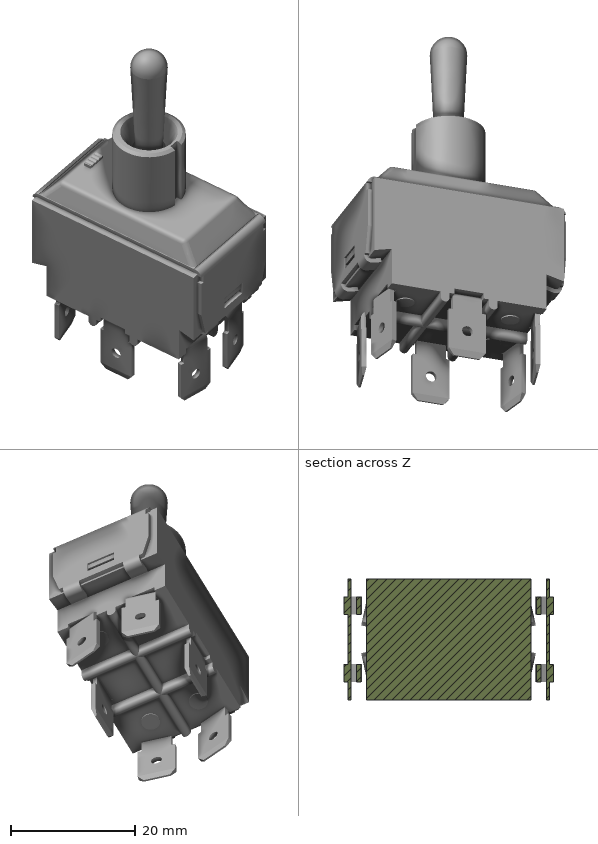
import cadquery as cq
import math


TOTAL_HEIGHT = 61.8
BODY_TOP = 29.2
BODY_BOTTOM = 10.5
STEP_Z = 16.75
COVER_TOP = 33.25
BUSHING_TOP = 45.2

BODY_LENGTH = 32.5
BODY_WIDTH = 19.5
FOOT_LENGTH = 26.6
STEP_DROP = 0.75
RIB_BOTTOM = 8.85
RIB_WIDTH = 1.5
RIB_X = 4.15

BUTTON_DIAMETER = 3.0
BUTTON_HEIGHT = 0.2
BUTTON_X = 9.0
BUTTON_Y = 4.3

STRAP_LENGTH = 34.0
STRAP_WIDTH = 17.3
STRAP_THICKNESS = (STRAP_LENGTH - BODY_LENGTH) / 2
STRAP_TOP = BODY_TOP + STRAP_THICKNESS
STRAP_END_Z = 16.45
STRAP_END_WIDTH = 15.15
STRAP_TAPER_Z = 20.9
BEND_RADIUS = 1.25
RELIEF_DEPTH = 0.55
RELIEF_BOTTOM = 27.5
RELIEF_TOP = 28.85
HOOK_ANGLE = 14.0
HOOK_ARM = 1.55
HOOK_WIDTH = 2.9
HOOK_Y = 5.45
WINDOW_WIDTH = 4.75
WINDOW_BOTTOM = 18.2
WINDOW_TOP = 20.35
TOOTH_BOTTOM = 19.1
TOOTH_TOP = 20.15
TOOTH_DEPTH = 0.55

COVER_BASE = (30.85, 17.05)
COVER_CREST = (24.95, 14.35)
COVER_FILLET = 1.0

GAP_WIDTH = 0.4
GAP_DEPTH = 0.2

MARK_X = -11.2
MARK_LENGTH = 1.35
MARK_WIDTH = 3.35
MARK_HEIGHT = 0.55
MARK_LOBES = 5
LOBE_PITCH = 0.8
LOBE_RISE = 0.2

BUSHING_RADIUS = 5.95
RIM_CHAMFER_HEIGHT = 0.4
RIM_CHAMFER_WIDTH = 0.55
FUNNEL_RADIUS = 4.65
FUNNEL_DEPTH = 3.2
BORE_RADIUS = 5.4 / 2
BORE_FLOOR = 37.1
KEYWAY_WIDTH = 1.7
KEYWAY_FLOOR_X = 4.95

TIP_RADIUS = 3.0
LEVER_ROOT_RADIUS = 4.0 / 2

BLADE_WIDTH = 6.3
BLADE_THICKNESS = 0.8
BLADE_SHOULDER = 8.15
NECK_WIDTH = 5.0
NECK_TOP = 11.45
NECK_BEND = 1.1
NECK_LEG = 2.5
TIP_HEIGHT = 1.1
TIP_INSET = 0.9
TIP_BEVEL = 0.25
HOLE_DIAMETER = 1.8
HOLE_Z = 4.6
NOTCH_LENGTH = 2.0
CENTRE_TERMINAL_Y = 8.9
CORNER_TERMINAL_X = 13.4
CORNER_TERMINAL_Y = 5.3
CORNER_TERMINAL_ANGLE = 12.2


def block(x_range, y_range, z_range):
    """Box between two limits on each axis."""
    sizes = [high - low for low, high in (x_range, y_range, z_range)]
    corner = cq.Vector(x_range[0], y_range[0], z_range[0])
    return cq.Workplane(cq.Solid.makeBox(*sizes, corner))


def both_ends(shape):
    """The shape and its mirror image across the YZ plane."""
    return shape.union(shape.mirror("YZ"))


def rib(width, length):
    """Round-bottomed rib along Y below the housing."""
    radius = width / 2
    return (
        cq.Workplane("XZ")
        .moveTo(-radius, BODY_BOTTOM)
        .lineTo(-radius, RIB_BOTTOM + radius)
        .threePointArc((0, RIB_BOTTOM), (radius, RIB_BOTTOM + radius))
        .lineTo(radius, BODY_BOTTOM)
        .close()
        .extrude(length / 2, both=True)
    )


def housing():
    half = BODY_LENGTH / 2
    foot = FOOT_LENGTH / 2
    right_side = [(half, BODY_TOP), (half, STEP_Z - STEP_DROP), (foot, STEP_Z), (foot, BODY_BOTTOM)]
    left_side = [(-x, z) for x, z in reversed(right_side)]
    body = (
        cq.Workplane("XZ")
        .polyline(right_side + left_side)
        .close()
        .extrude(BODY_WIDTH / 2, both=True)
    )
    cross_rib = rib(RIB_WIDTH, BODY_WIDTH)
    for x in (-RIB_X, RIB_X):
        body = body.union(cross_rib.translate((x, 0, 0)))
    long_rib = rib(RIB_WIDTH, FOOT_LENGTH).rotate((0, 0, 0), (0, 0, 1), 90)
    buttons = (
        cq.Workplane("XY", origin=(0, 0, BODY_BOTTOM))
        .rect(2 * BUTTON_X, 2 * BUTTON_Y, forConstruction=True)
        .vertices()
        .circle(BUTTON_DIAMETER / 2)
        .extrude(-BUTTON_HEIGHT)
    )
    return body.union(long_rib).union(buttons)


def hook():
    """Bent-in end of the strap at +X, centred on Y = 0."""
    inner_radius = BEND_RADIUS - STRAP_THICKNESS
    centre_x = STRAP_LENGTH / 2 - BEND_RADIUS
    end_angle = -90 - HOOK_ANGLE

    def on_bend(radius, degrees):
        angle = math.radians(degrees)
        return (centre_x + radius * math.cos(angle), STRAP_END_Z + radius * math.sin(angle))

    along = math.radians(180 - HOOK_ANGLE)
    arm = (HOOK_ARM * math.cos(along), HOOK_ARM * math.sin(along))
    inner_end = on_bend(inner_radius, end_angle)
    outer_end = on_bend(BEND_RADIUS, end_angle)
    return (
        cq.Workplane("XZ")
        .moveTo(*on_bend(BEND_RADIUS, 0))
        .threePointArc(on_bend(BEND_RADIUS, end_angle / 2), outer_end)
        .line(*arm)
        .lineTo(inner_end[0] + arm[0], inner_end[1] + arm[1])
        .lineTo(*inner_end)
        .threePointArc(on_bend(inner_radius, end_angle / 2), on_bend(inner_radius, 0))
        .close()
        .extrude(HOOK_WIDTH / 2, both=True)
    )


def strap_side():
    """Side leg of the strap at +X."""
    half = STRAP_WIDTH / 2
    end_half = STRAP_END_WIDTH / 2
    relief_half = half - RELIEF_DEPTH
    right_edge = [
        (half, STRAP_TOP),
        (half, RELIEF_TOP),
        (relief_half, RELIEF_TOP),
        (relief_half, RELIEF_BOTTOM),
        (half, RELIEF_BOTTOM),
        (half, STRAP_TAPER_Z),
        (end_half, STRAP_END_Z),
    ]
    left_edge = [(-y, z) for y, z in reversed(right_edge)]
    window_width = (-WINDOW_WIDTH / 2, WINDOW_WIDTH / 2)
    inside = BODY_LENGTH / 2
    outside = STRAP_LENGTH / 2
    leg = (
        cq.Workplane("YZ", origin=(inside, 0, 0))
        .polyline(right_edge + left_edge)
        .close()
        .extrude(STRAP_THICKNESS)
        .cut(block((inside, outside), window_width, (WINDOW_BOTTOM, WINDOW_TOP)))
        .union(block((inside, inside + TOOTH_DEPTH), window_width, (TOOTH_BOTTOM, TOOTH_TOP)))
    )
    for y in (-HOOK_Y, HOOK_Y):
        leg = leg.union(hook().translate((0, y, 0)))
    return leg


def strap():
    half_width = STRAP_WIDTH / 2
    outside = STRAP_LENGTH / 2
    plate = block((-outside, outside), (-half_width, half_width), (BODY_TOP, STRAP_TOP))
    cover_end = COVER_BASE[0] / 2
    cover_side = COVER_BASE[1] / 2
    gap_heights = (STRAP_TOP - GAP_DEPTH, STRAP_TOP)
    gap = block((cover_end, cover_end + GAP_WIDTH), (-cover_side, cover_side), gap_heights)
    return (
        plate.union(both_ends(strap_side()))
        .edges("(<X or >X) and >Z")
        .fillet(BEND_RADIUS)
        .cut(both_ends(gap))
    )


def cover():
    return (
        cq.Workplane("XY", origin=(0, 0, STRAP_TOP))
        .rect(*COVER_BASE)
        .workplane(offset=COVER_TOP - STRAP_TOP)
        .rect(*COVER_CREST)
        .loft(ruled=True)
        .edges("not <Z")
        .fillet(COVER_FILLET)
    )


def position_mark():
    """Short bar across the cover whose top is a row of convex ribs."""
    low = MARK_HEIGHT - LOBE_RISE
    start = -MARK_LOBES * LOBE_PITCH / 2
    profile = cq.Workplane("YZ").moveTo(start, 0).lineTo(start, low)
    for index in range(MARK_LOBES):
        left = start + index * LOBE_PITCH
        profile = profile.threePointArc((left + LOBE_PITCH / 2, MARK_HEIGHT), (left + LOBE_PITCH, low))
    ribbed = profile.lineTo(-start, 0).close().extrude(MARK_LENGTH / 2, both=True)
    trim = cq.Workplane("XY").box(MARK_LENGTH, MARK_WIDTH, 2 * MARK_HEIGHT)
    return ribbed.intersect(trim).translate((MARK_X, 0, COVER_TOP))


def bushing():
    """Collar around the lever, with a flared bore and a keyway along its +X side."""
    collar = (
        cq.Workplane("XZ")
        .moveTo(0, COVER_TOP - COVER_FILLET)
        .lineTo(BUSHING_RADIUS, COVER_TOP - COVER_FILLET)
        .lineTo(BUSHING_RADIUS, BUSHING_TOP - RIM_CHAMFER_HEIGHT)
        .lineTo(BUSHING_RADIUS - RIM_CHAMFER_WIDTH, BUSHING_TOP)
        .lineTo(FUNNEL_RADIUS, BUSHING_TOP)
        .lineTo(BORE_RADIUS, BUSHING_TOP - FUNNEL_DEPTH)
        .lineTo(BORE_RADIUS, BORE_FLOOR)
        .lineTo(0, BORE_FLOOR)
        .close()
        .revolve(360, (0, 0), (0, 1))
    )
    half_key = KEYWAY_WIDTH / 2
    keyway = block((KEYWAY_FLOOR_X, BUSHING_RADIUS), (-half_key, half_key), (COVER_TOP, BUSHING_TOP))
    return collar.cut(keyway)


def lever():
    """Tapered stick with a hemispherical tip."""
    tip_centre = TOTAL_HEIGHT - TIP_RADIUS
    tip_diagonal = TIP_RADIUS * math.sqrt(0.5)
    return (
        cq.Workplane("XZ")
        .moveTo(0, BORE_FLOOR)
        .lineTo(LEVER_ROOT_RADIUS, BORE_FLOOR)
        .lineTo(TIP_RADIUS, tip_centre)
        .threePointArc((tip_diagonal, tip_centre + tip_diagonal), (0, TOTAL_HEIGHT))
        .close()
        .revolve(360, (0, 0), (0, 1))
    )


def terminal():
    """Blade terminal whose outer face is the plane X = 0, facing +X; its neck bends into the housing."""
    half = BLADE_WIDTH / 2
    neck_half = NECK_WIDTH / 2
    right_edge = [
        (neck_half, NECK_TOP),
        (neck_half, BLADE_SHOULDER),
        (half, BLADE_SHOULDER),
        (half, TIP_HEIGHT),
        (half - TIP_INSET, 0),
    ]
    left_edge = [(-y, z) for y, z in reversed(right_edge)]
    outline = (
        cq.Workplane("YZ", origin=(-NECK_LEG, 0, 0))
        .polyline(right_edge + left_edge)
        .close()
        .extrude(NECK_LEG)
    )
    bend_diagonal = NECK_BEND * (1 - math.sqrt(0.5))
    profile = (
        cq.Workplane("XZ")
        .moveTo(-TIP_BEVEL, 0)
        .lineTo(0, TIP_HEIGHT)
        .lineTo(0, NECK_TOP - NECK_BEND)
        .threePointArc((-bend_diagonal, NECK_TOP - bend_diagonal), (-NECK_BEND, NECK_TOP))
        .lineTo(-NECK_LEG, NECK_TOP)
        .lineTo(-NECK_LEG, NECK_TOP - BLADE_THICKNESS)
        .lineTo(-BLADE_THICKNESS, NECK_TOP - BLADE_THICKNESS)
        .lineTo(-BLADE_THICKNESS, TIP_HEIGHT)
        .lineTo(TIP_BEVEL - BLADE_THICKNESS, 0)
        .close()
        .extrude(half, both=True)
    )
    hole = (
        cq.Workplane("YZ", origin=(-BLADE_THICKNESS, 0, 0))
        .center(0, HOLE_Z)
        .circle(HOLE_DIAMETER / 2)
        .extrude(BLADE_THICKNESS)
    )
    return outline.intersect(profile).cut(hole)


def terminal_notch():
    """Opening in the housing above the bend of a terminal, in the frame of that terminal."""
    half = NECK_WIDTH / 2
    return block((-NECK_BEND, NOTCH_LENGTH), (-half, half), (BODY_BOTTOM, NECK_TOP))


def at_all_terminals(shape):
    """Six copies of a shape made in a terminal's frame."""
    centre = shape.rotate((0, 0, 0), (0, 0, 1), 90).translate((0, CENTRE_TERMINAL_Y, 0))
    corner = shape.rotate((0, 0, 0), (0, 0, 1), CORNER_TERMINAL_ANGLE)
    corner = corner.translate((CORNER_TERMINAL_X, CORNER_TERMINAL_Y, 0))
    half_set = centre.union(both_ends(corner))
    return half_set.union(half_set.mirror("XZ"))


result = (
    housing()
    .cut(at_all_terminals(terminal_notch()))
    .union(at_all_terminals(terminal()))
    .union(strap())
    .union(cover())
    .union(position_mark())
    .union(bushing())
    .union(lever())
)